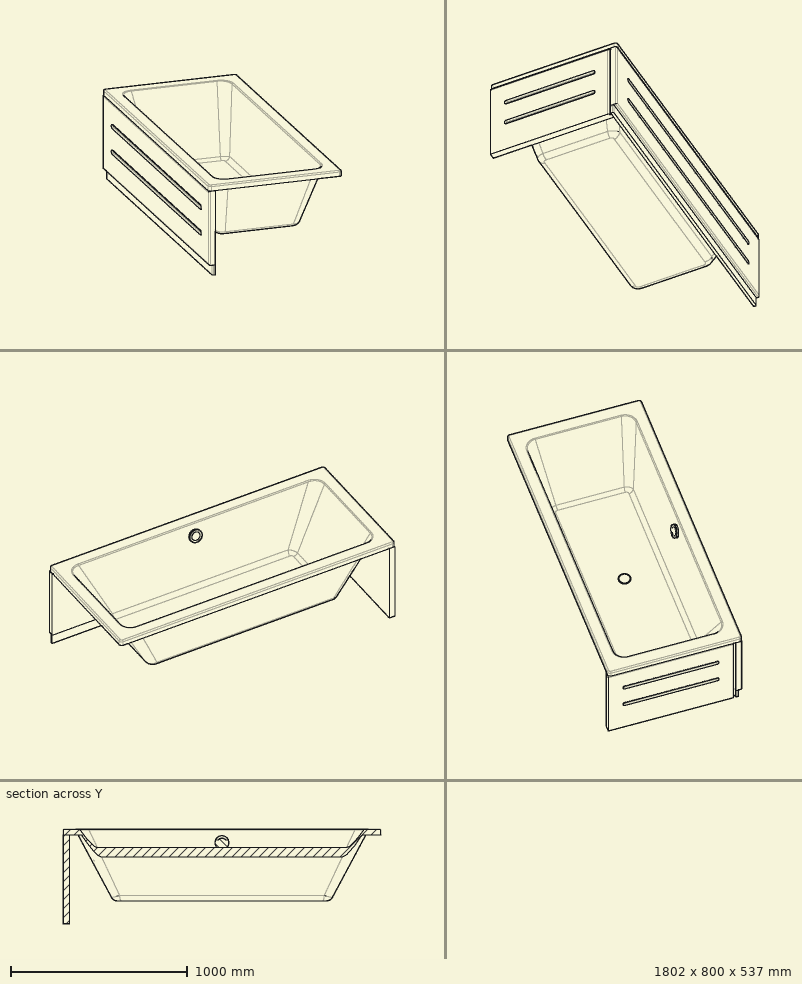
import cadquery as cq
import math

overall_length = 1802.0
overall_width = 800.0
overall_height = 537.0
end_overhang = 4.0

tub_length = overall_length - end_overhang
left_x = -tub_length / 2
front_y = -overall_width / 2
back_y = overall_width / 2

rim_height = 35.0
rim_corner_radius = 16.0
edge_radius = 8.1
lip_radius = 7.0
rim_bottom = overall_height - rim_height

basin_depth = 396.0
opening_length = 1643.0
opening_width = 649.0
opening_corner_radius = 67.0
end_wall_run = 218.0
side_wall_run = 83.0
floor_corner_radius = 40.0
floor_fillet = 60.0 / 2
shell_thickness = 10.0
floor_z = overall_height - basin_depth

panel_thickness = 38.0
plinth_height = 60.0
plinth_setback = 20.0
plinth_thickness = panel_thickness - plinth_setback
shadow_gap_width = 10.0
shadow_gap_depth = 10.0
panel_joint_y = front_y + panel_thickness

groove_height = 25.0
groove_depth = 9.0
groove_floor_fillet = 7.0
groove_levels = (209.0, 362.0)
front_groove_start = 142.0
front_groove_length = 1526.0
side_groove_start = 88.0
side_groove_length = 573.0

drain_diameter = 72.0
drain_dome_diameter = 63.0
drain_edge_height = 4.0
drain_dome_height = 7.0

overflow_diameter = 80.0
overflow_drop = 80.0
flange_thickness = 9.0
neck_diameter = 52.0
neck_length = 4.0
cap_thickness = 5.0
cap_edge_radius = 2.7


def basin_block(growth):
    """Tapered basin volume with its walls, floor and radii grown outward by `growth`."""
    top_length = opening_length + 2 * growth
    top_width = opening_width + 2 * growth
    height = basin_depth + growth
    floor = (
        cq.Sketch()
        .rect(top_length - 2 * end_wall_run, top_width - 2 * side_wall_run)
        .vertices().fillet(floor_corner_radius + growth)
    )
    opening = (
        cq.Sketch()
        .rect(top_length, top_width)
        .vertices().fillet(opening_corner_radius + growth)
    )
    block = (
        cq.Workplane("XY").workplane(offset=overall_height - height)
        .placeSketch(floor, opening.moved(cq.Location(cq.Vector(0, 0, height))))
        .loft()
    )
    return block.faces("<Z").edges().fillet(floor_fillet + growth)


def make_tub():
    rim = (
        cq.Workplane("XY").workplane(offset=rim_bottom)
        .rect(tub_length, overall_width).extrude(rim_height)
        .edges("|Z").fillet(rim_corner_radius)
        .faces(">Z").edges().fillet(edge_radius)
    )
    tub = rim.union(basin_block(shell_thickness)).cut(basin_block(0))
    lip_wire = tub.faces(">Z").val().innerWires()[0]
    return tub.newObject(lip_wire.Edges()).fillet(lip_radius)


def groove_cutters(length):
    """Grooves along X, centred on X = 0, sunk in +Y from the plane Y = 0."""
    return (
        cq.Workplane("XZ")
        .pushPoints([(0, level) for level in groove_levels])
        .slot2D(length, groove_height).extrude(-groove_depth)
        .faces(">Y").edges().fillet(groove_floor_fillet)
    )


def make_front_panel():
    panel = (
        cq.Workplane("XY").workplane(offset=plinth_height)
        .moveTo(left_x, front_y)
        .rect(overall_length, panel_thickness, centered=False)
        .extrude(rim_bottom - plinth_height)
        .faces("<Y").edges().fillet(edge_radius)
    )
    groove_x = left_x + front_groove_start + front_groove_length / 2
    return panel.cut(groove_cutters(front_groove_length).translate((groove_x, front_y, 0)))


def make_side_panel():
    face_front_y = panel_joint_y + shadow_gap_width
    panel = (
        cq.Workplane("XY").moveTo(left_x, face_front_y)
        .rect(panel_thickness, back_y - face_front_y, centered=False)
        .extrude(rim_bottom)
        .edges("<X and (>Z or <Y)").fillet(edge_radius)
    )
    tongue = (
        cq.Workplane("XY").moveTo(left_x + shadow_gap_depth, panel_joint_y)
        .rect(panel_thickness - shadow_gap_depth, shadow_gap_width, centered=False)
        .extrude(rim_bottom)
    )
    groove_y = back_y - side_groove_start - side_groove_length / 2
    grooves = groove_cutters(side_groove_length).rotate((0, 0, 0), (0, 0, 1), -90)
    return panel.union(tongue).cut(grooves.translate((left_x, groove_y, 0)))


def make_plinth():
    return (
        cq.Workplane("XY").moveTo(left_x, front_y + plinth_setback)
        .rect(overall_length, plinth_thickness, centered=False)
        .extrude(plinth_height)
        .faces("<Y").edges("|Z").fillet(edge_radius)
    )


def make_drain_cap():
    """Disc with a shallow spherical dome, resting on the basin floor."""
    dome_radius = drain_dome_diameter / 2
    sphere_radius = (dome_radius**2 + drain_dome_height**2) / (2 * drain_dome_height)
    edge_z = floor_z + drain_edge_height
    half_angle = math.asin(dome_radius / sphere_radius) / 2
    sphere_z = edge_z + drain_dome_height - sphere_radius
    mid_dome = (sphere_radius * math.sin(half_angle), sphere_z + sphere_radius * math.cos(half_angle))
    return (
        cq.Workplane("XZ").moveTo(0, floor_z)
        .lineTo(drain_diameter / 2, floor_z)
        .lineTo(drain_diameter / 2, edge_z)
        .lineTo(dome_radius, edge_z)
        .threePointArc(mid_dome, (0, edge_z + drain_dome_height))
        .close()
        .revolve(360, (0, 0, 0), (0, 1, 0))
    )


def overflow_workplane(distance):
    """Workplane parallel to the front side wall, `distance` inside the basin."""
    wall_y = -opening_width / 2 + overflow_drop * side_wall_run / basin_depth
    wall_plane = cq.Plane(
        origin=(0, wall_y, overall_height - overflow_drop),
        xDir=(1, 0, 0),
        normal=(0, basin_depth, side_wall_run),
    )
    return cq.Workplane(wall_plane).workplane(offset=distance)


def make_overflow_flange():
    flange = overflow_workplane(0).circle(overflow_diameter / 2).extrude(flange_thickness)
    neck = overflow_workplane(flange_thickness).circle(neck_diameter / 2).extrude(neck_length)
    return flange.union(neck)


def make_overflow_cap():
    cap = (
        overflow_workplane(flange_thickness + neck_length)
        .circle(overflow_diameter / 2).extrude(cap_thickness)
    )
    return cap.faces(">Y").edges().fillet(cap_edge_radius)


tub = make_tub()
front_panel = make_front_panel()
side_panel = make_side_panel()
plinth = make_plinth()
drain_cap = make_drain_cap()
overflow_flange = make_overflow_flange()
overflow_cap = make_overflow_cap()

result = cq.Compound.makeCompound([
    tub.val(),
    front_panel.val(),
    side_panel.val(),
    plinth.val(),
    drain_cap.val(),
    overflow_flange.val(),
    overflow_cap.val(),
])